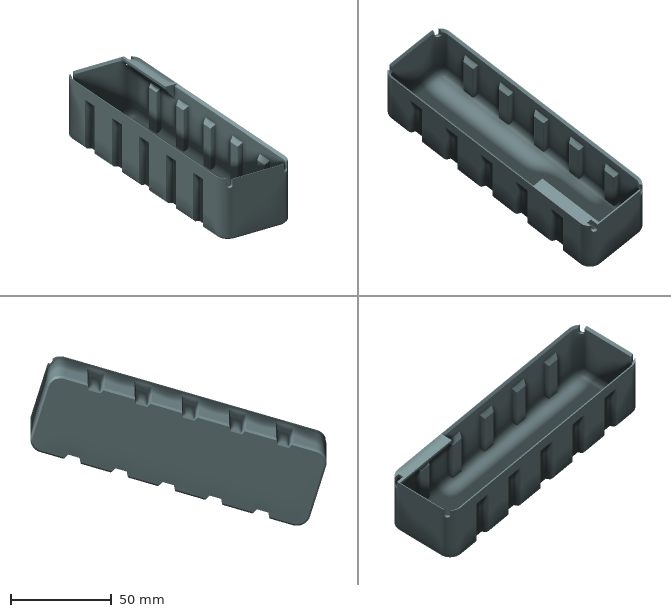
import cadquery as cq
import math

LENGTH = 145.0
WIDTH = 41.2
HEIGHT = 33.6
CORNER_RADIUS = 7.0
BASE_CHAMFER = 1.0

WALL = 1.5
FLOOR = 1.0
FLOOR_FILLET = 4.0
RIM_FLAT = 0.3
RIM_SLOPE_HEIGHT = WALL - RIM_FLAT

GROOVE_COUNT = 5
GROOVE_PITCH = 24.5
GROOVE_DEPTH = 3.0
GROOVE_MOUTH_WIDTH = 9.0
GROOVE_SIDE_ANGLE = 27
GROOVE_TOP_DROP = 6.5
SKIN = 0.7

SHELF_LENGTH = 40.0
SHELF_WIDTH = 7.0
SHELF_LIP = 1.5
SHELF_SLOPE_HEIGHT = 8.7

NOTCH_WIDTH = 2.9
NOTCH_DEPTH = 5.0
NOTCH_OFFSET = 16.7
NOTCH_REACH = 4.6


def rounded_block(length, width, height, radius):
    """Upright block standing on z = 0 with rounded vertical edges."""
    block = cq.Workplane("XY").box(length, width, height, centered=(True, True, False))
    return block.edges("|Z").fillet(radius)


def make_outer():
    block = rounded_block(LENGTH, WIDTH, HEIGHT, CORNER_RADIUS)
    return block.faces("<Z").chamfer(BASE_CHAMFER)


def make_cavity():
    """Inner space, rounded at the floor and flared at 45 degrees up to the narrow flat rim."""
    inner = rounded_block(
        LENGTH - 2 * WALL, WIDTH - 2 * WALL, HEIGHT - FLOOR, CORNER_RADIUS - WALL
    )
    inner = inner.faces("<Z").edges().fillet(FLOOR_FILLET)
    inner = inner.translate((0, 0, FLOOR))
    rim_length = LENGTH - 2 * RIM_FLAT
    rim_width = WIDTH - 2 * RIM_FLAT
    flare = rounded_block(rim_length, rim_width, 2 * RIM_SLOPE_HEIGHT, CORNER_RADIUS - RIM_FLAT)
    flare = flare.faces("<Z").chamfer(RIM_SLOPE_HEIGHT)
    return inner.union(flare.translate((0, 0, HEIGHT - RIM_SLOPE_HEIGHT)))


def mirrored_pair(shape):
    return shape.union(shape.mirror("XZ"))


def groove_positions():
    middle = (GROOVE_COUNT - 1) / 2
    return [(index - middle) * GROOVE_PITCH for index in range(GROOVE_COUNT)]


def groove_profile(x):
    """Trapezoid cut into the front wall, narrowing inward."""
    front = -WIDTH / 2
    half_mouth = GROOVE_MOUTH_WIDTH / 2
    half_bed = half_mouth - GROOVE_DEPTH * math.tan(math.radians(GROOVE_SIDE_ANGLE))
    return (
        cq.Workplane("XY")
        .moveTo(x - half_mouth, front)
        .lineTo(x + half_mouth, front)
        .lineTo(x + half_bed, front + GROOVE_DEPTH)
        .lineTo(x - half_bed, front + GROOVE_DEPTH)
        .close()
    )


def below_slope(shape, top):
    """Keep what lies under a 45 degree plane that falls inward from z = top at the outer wall."""
    front = -WIDTH / 2
    under = (
        cq.Workplane("YZ")
        .polyline([(front, 0), (front, top), (front + top, 0)])
        .close()
        .extrude(LENGTH / 2, both=True)
    )
    return shape.intersect(under)


def make_groove(x):
    return below_slope(groove_profile(x).extrude(HEIGHT), HEIGHT - GROOVE_TOP_DROP)


def make_rib(x):
    """Groove shape grown by the skin thickness, with rounded crest corners."""
    rib = groove_profile(x).offset2D(SKIN, "arc").extrude(HEIGHT)
    rib = rib.intersect(make_outer())
    return below_slope(rib, HEIGHT - GROOVE_TOP_DROP + SKIN * math.sqrt(2))


def make_shelf():
    """Flat-topped shelf along the back wall with a sloping underside."""
    back = WIDTH / 2
    front = back - SHELF_WIDTH
    shelf = (
        cq.Workplane("YZ", origin=(-LENGTH / 2, 0, 0))
        .polyline(
            [
                (back, HEIGHT),
                (front, HEIGHT),
                (front, HEIGHT - SHELF_LIP),
                (back, HEIGHT - SHELF_LIP - SHELF_SLOPE_HEIGHT),
            ]
        )
        .close()
        .extrude(SHELF_LENGTH)
    )
    return shelf.intersect(make_outer())


def make_notch(x_side, y_side):
    """Round-bottomed slot cut down from the rim, reaching in from one end of the box."""
    radius = NOTCH_WIDTH / 2
    y = y_side * NOTCH_OFFSET
    bottom = HEIGHT - NOTCH_DEPTH
    return (
        cq.Workplane("YZ", origin=(x_side * LENGTH / 2, 0, 0))
        .moveTo(y - radius, HEIGHT)
        .lineTo(y - radius, bottom + radius)
        .threePointArc((y, bottom), (y + radius, bottom + radius))
        .lineTo(y + radius, HEIGHT)
        .close()
        .extrude(-x_side * NOTCH_REACH)
    )


result = make_outer().cut(make_cavity())
for position in groove_positions():
    result = result.union(mirrored_pair(make_rib(position)))
result = result.union(make_shelf())
for position in groove_positions():
    result = result.cut(mirrored_pair(make_groove(position)))
for x_side in (-1, 1):
    for y_side in (-1, 1):
        result = result.cut(make_notch(x_side, y_side))